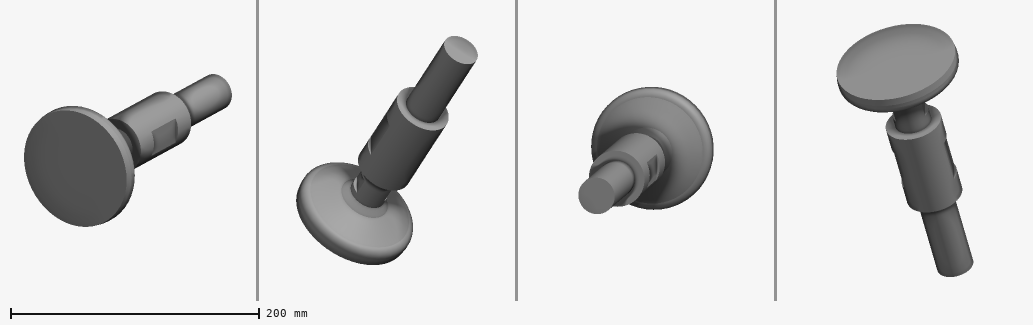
import cadquery as cq
import math

overall_length = 210.0

foot_radius = 50.0
sole_radius = 49.1
rim_bottom = 5.7
rim_top = 8.8
shoulder_radius = 43.7
shoulder_height = 15.8
neck_radius = 20.5
neck_height = 25.2
foot_height = 30.9

stem_radius = 15.02
stem_flat_start = 36.5
stem_flat_length = 15.1
stem_across_flats = 24.0

sleeve_radius = 23.0
sleeve_start = 62.0
sleeve_length = 75.0
sleeve_flat_length = 36.1
sleeve_across_flats = 41.0
sleeve_flat_start = sleeve_start + (sleeve_length - sleeve_flat_length) / 2

sole_y = -overall_length / 2


def cylinder(radius, start, length):
    """Cylinder along +Y whose near end is at height start above the sole."""
    plane = cq.Plane(origin=(0, sole_y + start, 0), xDir=(1, 0, 0), normal=(0, 1, 0))
    return cq.Workplane(plane).circle(radius).extrude(length)


def cut_flats(body, radius, across_flats, start, length):
    """Cut a pair of wrench flats facing -X and +X."""
    depth = radius - across_flats / 2
    for side in (-1, 1):
        cutter = cq.Workplane("XY").box(depth, length, 2 * radius).translate(
            (side * (across_flats + depth) / 2, sole_y + start + length / 2, 0)
        )
        body = body.cut(cutter)
    return body


def rim_arc_midpoint():
    """Middle of the rim arc, which leaves the vertical rim side tangentially."""
    inset = foot_radius - shoulder_radius
    rise = shoulder_height - rim_top
    arc_radius = (inset**2 + rise**2) / (2 * inset)
    half_angle = math.atan2(rise, arc_radius - inset) / 2
    return (
        foot_radius - arc_radius * (1 - math.cos(half_angle)),
        sole_y + rim_top + arc_radius * math.sin(half_angle),
    )


def make_foot():
    """Round foot with a tapered sole edge, rounded rim and conical neck."""
    return (
        cq.Workplane("XY")
        .moveTo(0, sole_y)
        .lineTo(sole_radius, sole_y)
        .lineTo(foot_radius, sole_y + rim_bottom)
        .lineTo(foot_radius, sole_y + rim_top)
        .threePointArc(rim_arc_midpoint(), (shoulder_radius, sole_y + shoulder_height))
        .lineTo(neck_radius, sole_y + neck_height)
        .lineTo(stem_radius, sole_y + foot_height)
        .lineTo(0, sole_y + foot_height)
        .close()
        .revolve(360, (0, 0, 0), (0, 1, 0))
    )


def make_leveling_foot():
    """Foot and stem in one piece, with wrench flats near the foot."""
    stem = cylinder(stem_radius, foot_height, overall_length - foot_height)
    stem = cut_flats(stem, stem_radius, stem_across_flats, stem_flat_start, stem_flat_length)
    return make_foot().union(stem)


def make_sleeve():
    """Sleeve around the stem, with wrench flats at mid length."""
    bore = cylinder(stem_radius, sleeve_start, sleeve_length)
    sleeve = cylinder(sleeve_radius, sleeve_start, sleeve_length).cut(bore)
    return cut_flats(
        sleeve, sleeve_radius, sleeve_across_flats, sleeve_flat_start, sleeve_flat_length
    )


leveling_foot = make_leveling_foot()
sleeve = make_sleeve()

result = cq.Compound.makeCompound([leveling_foot.val(), sleeve.val()])